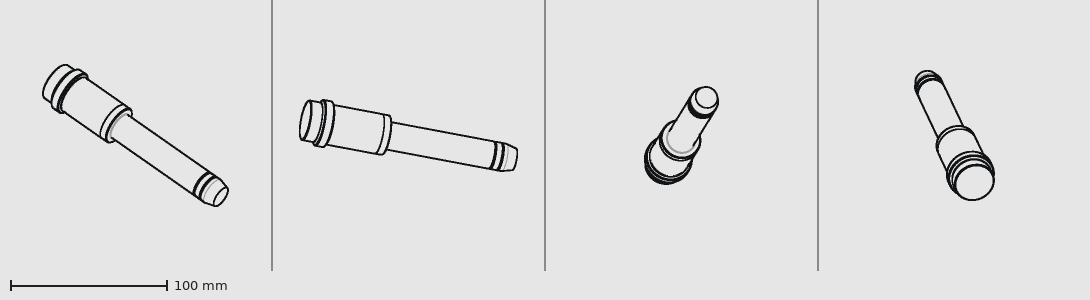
import cadquery as cq
import math

length = 140.0
body_radius = 26.0 / 2
flange_radius = 30.0 / 2
pin_radius = 18.0 / 2

flange_start = 9.0
flange_width = 6.0
flange_end = flange_start + flange_width
body_end = 54.0
nose_length = 7.0
nose_start = length - nose_length
nose_angle = 15.0
nose_radius = pin_radius - nose_length * math.tan(math.radians(nose_angle))

head_chamfer = 0.5
flange_chamfer = 0.5
body_chamfer = 0.5
root_fillet = 0.5
relief_radius = 0.65

lead_length = 5.0
lead_start = body_end - lead_length
lead_reduction = 0.05
lead_radius = body_radius - lead_reduction

ring_starts = (124.5, 129.5)
ring_width = 1.0
ring_depth = ring_width / 2


def make_pillar():
    """Revolve the half profile, traced from the head to the nose."""
    profile = (
        cq.Workplane("XY")
        .lineTo(0, body_radius - head_chamfer)
        .lineTo(head_chamfer, body_radius)
        .lineTo(flange_start - 2 * relief_radius, body_radius)
        .radiusArc((flange_start, body_radius), -relief_radius)
        .lineTo(flange_start, flange_radius - flange_chamfer)
        .lineTo(flange_start + flange_chamfer, flange_radius)
        .lineTo(flange_end - flange_chamfer, flange_radius)
        .lineTo(flange_end, flange_radius - flange_chamfer)
        .lineTo(flange_end, body_radius)
        .radiusArc((flange_end + relief_radius, body_radius - relief_radius), -relief_radius)
        .lineTo(flange_end + relief_radius, body_radius)
        .lineTo(lead_start, body_radius)
        .lineTo(lead_start, lead_radius)
        .lineTo(body_end - body_chamfer, lead_radius)
        .lineTo(body_end, lead_radius - body_chamfer)
        .lineTo(body_end, pin_radius + root_fillet)
        .radiusArc((body_end + root_fillet, pin_radius), -root_fillet)
        .lineTo(nose_start, pin_radius)
        .lineTo(length, nose_radius)
        .lineTo(length, 0)
        .close()
    )
    return profile.revolve(360, (0, 0, 0), (1, 0, 0))


def make_ring_cutter(start):
    """Ring of circular section that leaves a half-round groove in the pin."""
    return (
        cq.Workplane("XY")
        .center(start + ring_width / 2, pin_radius)
        .circle(ring_depth)
        .revolve(360, (0, -pin_radius, 0), (1, -pin_radius, 0))
    )


result = make_pillar()
for ring_start in ring_starts:
    result = result.cut(make_ring_cutter(ring_start))